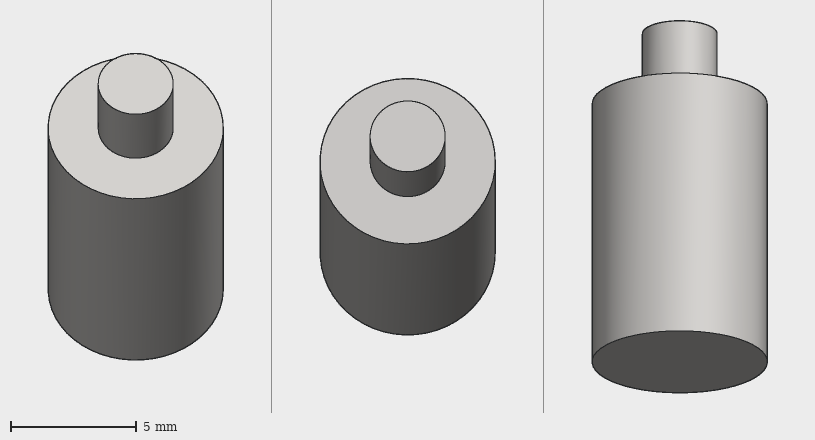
import cadquery as cq

total_height = 14.0
body_diameter = 7.0
pin_diameter = 3.0
pin_height = 3.0

body_height = total_height - pin_height

body = cq.Workplane("XY").circle(body_diameter / 2).extrude(body_height)

result = body.faces(">Z").workplane().circle(pin_diameter / 2).extrude(pin_height)